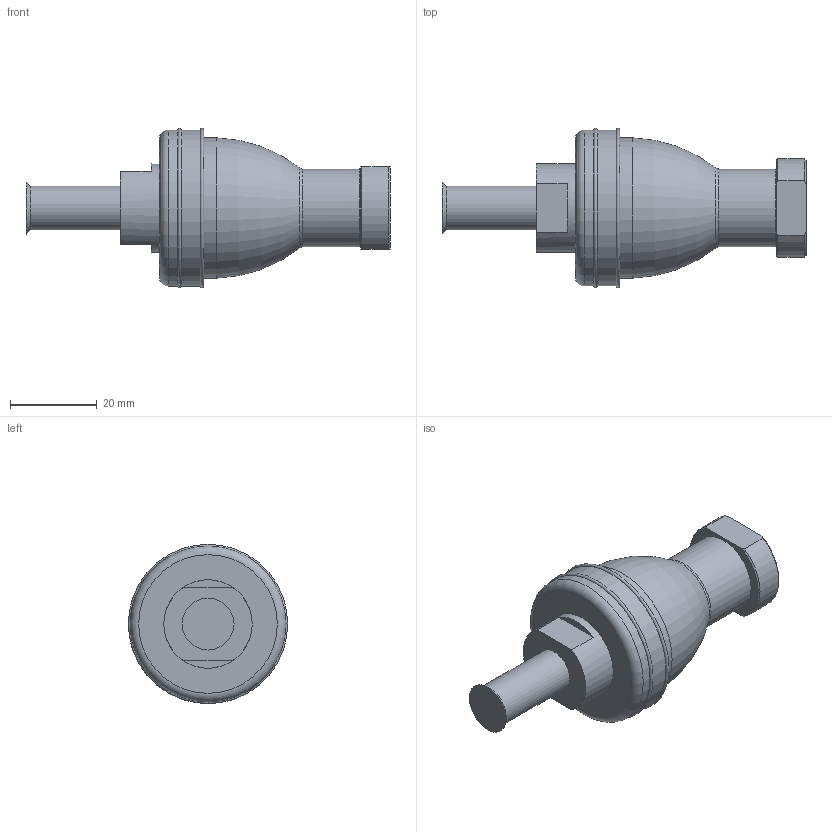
import cadquery as cq


collar_start = 21.8
body_start = 30.8
body_end = 41.0
dome_start = 44.0
nut_start = 77.2
total_length = 84.0

shaft_diameter = 10.11
flare_diameter = 12.0
flare_length = (flare_diameter - shaft_diameter) / 2

collar_diameter = 20.4
collar_flat_width = 17.0
collar_flat_length = 7.1

body_diameter = 36.0
body_fillet = 2.0
bead_radius = 0.4
first_bead_center = 35.4
bead_centers = (first_bead_center, body_end - bead_radius)

dome_diameter = 32.4
dome_length = 19.5
dome_arc_radius = 33.0
tube_diameter = 18.0
dome_tube_fillet = 1.2
tube_end_chamfer = 0.2

nut_diameter = 22.8
nut_flat_width = 19.0
nut_front_chamfer = 0.3
nut_end_chamfer = 0.4


def turned_cylinder(start, end, diameter):
    """Cylinder on the X axis between two stations."""
    return cq.Workplane("YZ", origin=(start, 0, 0)).circle(diameter / 2).extrude(end - start)


def flats_block(start, end, diameter, width):
    """Block that keeps a round section to a given width in Z."""
    return cq.Workplane("YZ", origin=(start, 0, 0)).rect(2 * diameter, width).extrude(end - start)


def revolve_about_x(profile):
    """Full turn of an XY profile about the X axis."""
    return profile.close().revolve(360, (0, 0, 0), (1, 0, 0))


def make_shaft():
    profile = (
        cq.Workplane("XY")
        .lineTo(0, flare_diameter / 2)
        .lineTo(flare_length, shaft_diameter / 2)
        .lineTo(collar_start, shaft_diameter / 2)
        .lineTo(collar_start, 0)
    )
    return revolve_about_x(profile)


def make_collar():
    flats_end = collar_start + collar_flat_length
    flatted = turned_cylinder(collar_start, flats_end, collar_diameter).intersect(
        flats_block(collar_start, flats_end, collar_diameter, collar_flat_width)
    )
    return flatted.union(turned_cylinder(flats_end, body_start, collar_diameter))


def make_body():
    radius = body_diameter / 2
    profile = (
        cq.Workplane("XY")
        .moveTo(body_start, 0)
        .lineTo(body_start, radius - body_fillet)
        .radiusArc((body_start + body_fillet, radius), body_fillet)
    )
    for center in bead_centers:
        profile = profile.lineTo(center - bead_radius, radius).threePointArc(
            (center, radius + bead_radius), (center + bead_radius, radius)
        )
    return revolve_about_x(profile.lineTo(body_end, 0))


def make_dome_and_tube():
    dome_radius = dome_diameter / 2
    tube_radius = tube_diameter / 2
    dome_end = dome_start + dome_length
    profile = (
        cq.Workplane("XY")
        .moveTo(body_end, 0)
        .lineTo(body_end, dome_radius)
        .lineTo(dome_start, dome_radius)
        .radiusArc((dome_end, tube_radius), dome_arc_radius)
        .lineTo(nut_start - tube_end_chamfer, tube_radius)
        .lineTo(nut_start, tube_radius - tube_end_chamfer)
        .lineTo(nut_start, 0)
    )
    joint_edge = cq.selectors.NearestToPointSelector((dome_end, 0, 0))
    return revolve_about_x(profile).edges(joint_edge).fillet(dome_tube_fillet)


def make_nut():
    nut = turned_cylinder(nut_start, total_length, nut_diameter)
    nut = nut.faces("<X").edges().chamfer(nut_front_chamfer)
    nut = nut.faces(">X").edges().chamfer(nut_end_chamfer)
    return nut.intersect(flats_block(nut_start, total_length, nut_diameter, nut_flat_width))


result = make_shaft().union(make_collar()).union(make_body()).union(make_dome_and_tube()).union(make_nut())